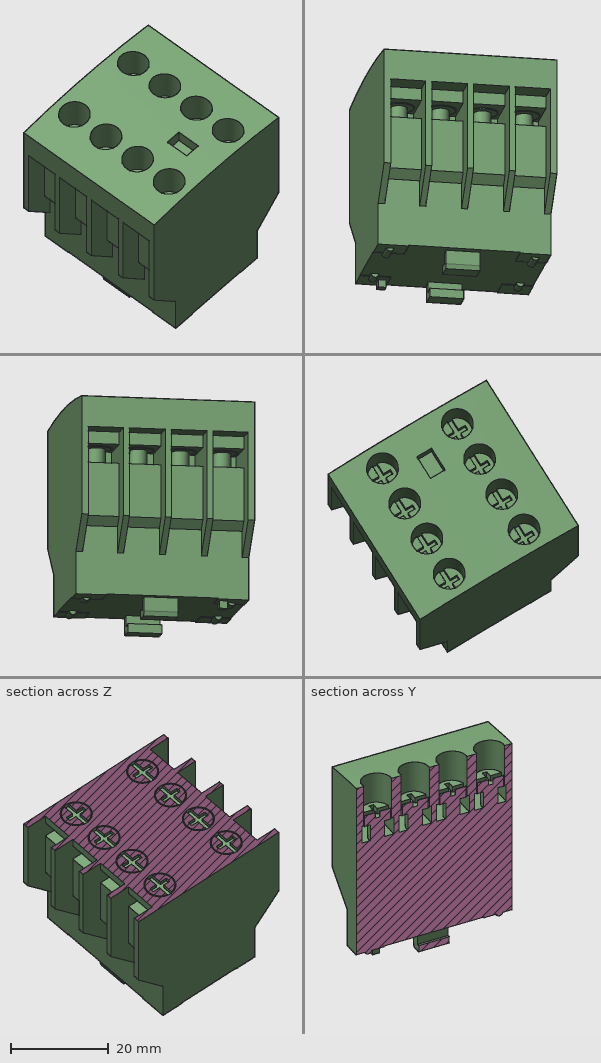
import cadquery as cq

width = 36.0
depth = 38.0
height = 44.9
shoulder_z = 43.78
base_z = 3.73
base_half_depth = 12.45
flare_bottom_z = 12.55
half_depth = depth / 2
flare_top_z = flare_bottom_z + half_depth - base_half_depth

relief_depth = 0.2
pad_inner_x = 11.6
pad_inner_y = 7.27

pole_count = 4
pole_pitch = 8.7
pole_xs = [(i - (pole_count - 1) / 2) * pole_pitch for i in range(pole_count)]
rib_width = 1.25
side_wall = 1.4
window_top_z = 37.4
clamp_face_y = 14.25
clamp_bottom_z = 18.0
chamber_bottom_z = 30.9
chamber_top_z = 34.85

screw_y = 9.0
screw_hole_radius = 3.25
head_radius = 3.1
head_bottom_z = 34.65
head_top_z = 37.4
shank_radius = 1.8
shank_embed = 0.45
long_slot_width = 1.1
cross_slot_width = 1.0
cross_slot_length = 4.35
slot_depth = 1.35
chamber_back_y = screw_y - screw_hole_radius

pocket_x = 8.7
pocket_length = 5.35
pocket_width = 3.5
pocket_floor_z = 42.2

claw_width = 7.1
claw_outer_y = 10.8
claw_inner_y = 9.0
claw_tip_y = 6.95
claw_chamfer_y = 0.25
claw_chamfer_z = 1.0
hook_z = 1.55
hook_tip_z = 1.85

foot_x = 15.15
foot_width = 1.6
foot_drop = 0.65
foot_inner_y = 6.0
rear_foot_outer_y = 10.45
front_foot_outer_y = 9.0
peg_x = 13.05
peg_y = -9.9
peg_size = 1.65
peg_bottom_z = 2.15
embed = 0.9


def block(x_range, y_range, z_range):
    """Axis-aligned box between the given limits."""
    x0, x1 = x_range
    y0, y1 = y_range
    z0, z1 = z_range
    return cq.Workplane("XY").box(x1 - x0, y1 - y0, z1 - z0, centered=False).translate((x0, y0, z0))


def cylinder(x, y, radius, z0, z1):
    """Vertical cylinder between two heights."""
    return cq.Workplane("XY", origin=(x, y, z0)).circle(radius).extrude(z1 - z0)


def extrude_along_x(profile, x0, x1):
    """Extrude a closed YZ profile between two X positions."""
    return profile.extrude(x1 - x0).translate((x0, 0, 0))


def both_sides(shape):
    """Add the mirror image on the other side of the XZ plane."""
    return shape.union(shape.mirror("XZ"))


def make_housing():
    profile = (
        cq.Workplane("YZ")
        .moveTo(-base_half_depth, base_z)
        .lineTo(base_half_depth, base_z)
        .lineTo(base_half_depth, flare_bottom_z)
        .lineTo(half_depth, flare_top_z)
        .lineTo(half_depth, shoulder_z)
        .threePointArc((0, height), (-half_depth, shoulder_z))
        .lineTo(-half_depth, flare_top_z)
        .lineTo(-base_half_depth, flare_bottom_z)
        .close()
    )
    housing = extrude_along_x(profile, -width / 2, width / 2)
    relief_z = (base_z, base_z + relief_depth)
    along_y = block((-pad_inner_x, pad_inner_x), (-half_depth, half_depth), relief_z)
    along_x = block((-width / 2, width / 2), (-pad_inner_y, pad_inner_y), relief_z)
    return housing.cut(along_y).cut(along_x)


def window_limits(x):
    """X limits of the window of the pole at x."""
    left = max(x - (pole_pitch - rib_width) / 2, -width / 2 + side_wall)
    right = min(x + (pole_pitch - rib_width) / 2, width / 2 - side_wall)
    return left, right


def make_window(x):
    """Front recess of one pole, with the wire chamber behind it."""
    left, right = window_limits(x)
    profile = (
        cq.Workplane("YZ")
        .moveTo(-half_depth, flare_bottom_z)
        .lineTo(-base_half_depth, flare_bottom_z)
        .lineTo(-base_half_depth, clamp_bottom_z)
        .lineTo(-clamp_face_y, clamp_bottom_z + clamp_face_y - base_half_depth)
        .lineTo(-clamp_face_y, window_top_z)
        .lineTo(-half_depth, window_top_z)
        .close()
    )
    recess = extrude_along_x(profile, left, right)
    chamber = block((left, right), (-half_depth, -chamber_back_y), (chamber_bottom_z, chamber_top_z))
    return recess.union(chamber)


def make_screw(x):
    """Clamp screw of one pole, with a cross-recessed head."""
    head = cylinder(x, -screw_y, head_radius, head_bottom_z, head_top_z)
    shank = cylinder(x, -screw_y, shank_radius, chamber_bottom_z - shank_embed, head_bottom_z + shank_embed)
    slot = cq.Workplane("XY", origin=(x, -screw_y, head_top_z))
    long_slot = slot.rect(2 * head_radius, long_slot_width).extrude(-slot_depth)
    cross_slot = slot.rect(cross_slot_width, cross_slot_length).extrude(-slot_depth)
    return head.union(shank).cut(long_slot).cut(cross_slot)


def make_pocket():
    return (
        cq.Workplane("XY", origin=(pocket_x, 0, pocket_floor_z))
        .rect(pocket_length, pocket_width)
        .extrude(height - pocket_floor_z)
    )


def make_claw():
    """J-shaped claw, hooked towards the centre plane."""
    profile = (
        cq.Workplane("YZ")
        .moveTo(-claw_outer_y, base_z + embed)
        .lineTo(-claw_outer_y, claw_chamfer_z)
        .lineTo(-claw_outer_y + claw_chamfer_y, 0)
        .lineTo(-claw_tip_y, 0)
        .lineTo(-claw_tip_y, hook_tip_z)
        .lineTo(-claw_inner_y, hook_z)
        .lineTo(-claw_inner_y, base_z + embed)
        .close()
    )
    return extrude_along_x(profile, -claw_width / 2, claw_width / 2)


def make_foot(x, y_start, y_end):
    """Rounded foot running along Y from y_start up to y_end."""
    half = foot_width / 2
    return (
        cq.Workplane("XZ", origin=(x, y_end, 0))
        .moveTo(-half, base_z + embed)
        .lineTo(-half, base_z)
        .threePointArc((0, base_z - foot_drop), (half, base_z))
        .lineTo(half, base_z + embed)
        .close()
        .extrude(y_end - y_start)
    )


def make_peg():
    return (
        cq.Workplane("XY", origin=(peg_x, peg_y, peg_bottom_z))
        .rect(peg_size, peg_size)
        .extrude(base_z + embed - peg_bottom_z)
    )


result = make_housing().cut(make_pocket())
for pole_x in pole_xs:
    screw_hole = cylinder(pole_x, -screw_y, screw_hole_radius, chamber_bottom_z, height)
    result = result.cut(both_sides(make_window(pole_x).union(screw_hole)))
    result = result.union(both_sides(make_screw(pole_x)))
for side in (-1, 1):
    result = result.union(make_foot(side * foot_x, -front_foot_outer_y, -foot_inner_y))
    result = result.union(make_foot(side * foot_x, foot_inner_y, rear_foot_outer_y))
result = result.union(both_sides(make_claw())).union(make_peg())